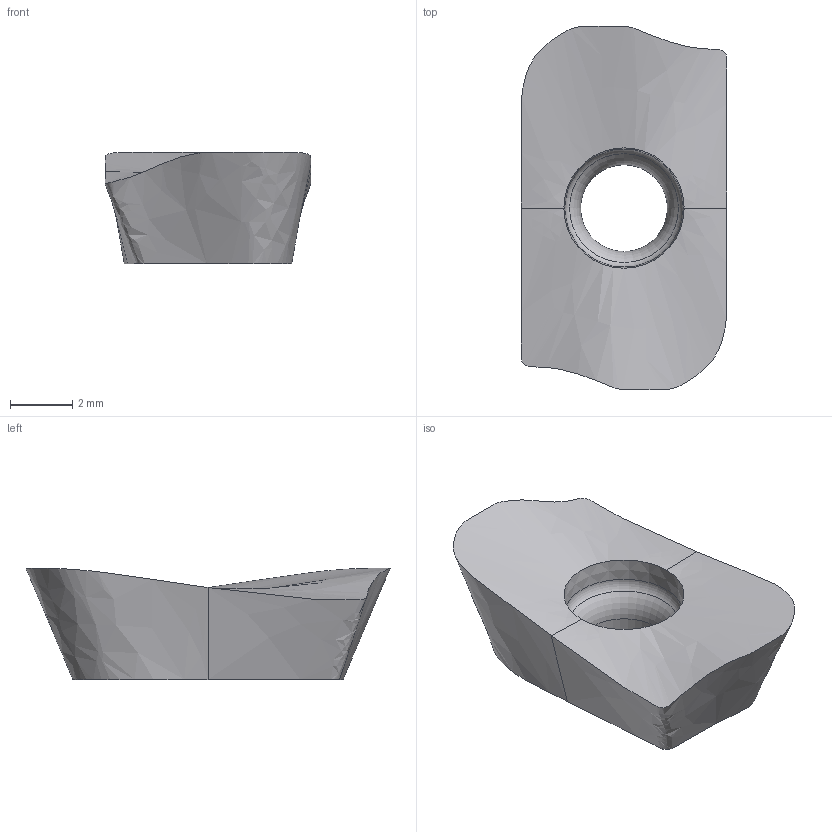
import cadquery as cq
import math

width = 6.64
length = 11.74
height = 3.59
half_width = width / 2
half_length = length / 2

waist_height = 2.97
nose_height = 2.58
nose_exit_height = 2.66
nose_radius = 0.35
nose_end_y = -5.12
flat_start_x = 0.1
flat_end_x = 1.2
sweep_end_y = -3.1
sweep_end_height = 3.43
wave_middle = (-1.0, -5.53, 3.41)
wave_top = (-0.34, -5.79, 3.56)
sweep_first = (2.25, -5.47, height)
sweep_second = (3.05, -4.58, 3.57)

seat_lean = math.tan(math.radians(4.0))
seat_half_width = 2.58
seat_nose_y = -4.24
seat_nose_radius = 0.3
seat_flat_start_y = -4.26
seat_end_y = -4.36
seat_sweep_end_y = -1.6
seat_wave_middle = (-0.7, seat_nose_y, 0)
seat_wave_top = (-0.2, -4.25, 0)
seat_sweep_first = (1.95, -4.05, 0)
seat_sweep_second = (2.5, -3.15, 0)

hole_diameter = 2.8
rim_diameter = 3.88
rim_height = 2.93
head_floor_diameter = 3.82
head_floor_height = 2.19
seat_fillet_radius = 0.5
seat_turn_angle = 46.0

along_x = (1, 0, 0)
along_minus_y = (0, -1, 0)
waist_fall = (0, -1, -0.11)
nose_exit = (1, 0, 0.25)
sweep_exit = (0, 1, -0.13)
seat_nose_side = (seat_lean, -1, 0)
seat_sweep_side = (-seat_lean, 1, 0)


def cutting_edge_stations():
    """(point, direction) pairs along the cutting edge of the -Y end."""
    nose_start_y = nose_end_y + nose_radius
    nose_end_x = -half_width + nose_radius
    return [
        ((-half_width, 0, waist_height), waist_fall),
        ((-half_width, nose_start_y, nose_height), along_minus_y),
        ((nose_end_x, nose_end_y, nose_exit_height), nose_exit),
        (wave_middle, (1, -0.38, 0.36)),
        (wave_top, (1, -0.36, 0.12)),
        ((flat_start_x, -half_length, height), along_x),
        ((flat_end_x, -half_length, height), along_x),
        (sweep_first, (0.82, 0.57, 0)),
        (sweep_second, (0.4, 0.9, -0.05)),
        ((half_width, sweep_end_y, sweep_end_height), sweep_exit),
        ((half_width, 0, waist_height), sweep_exit),
    ]


def seat_edge_stations():
    """(point, direction) pairs of the seat outline, one below each cutting edge station."""
    nose_start_y = seat_nose_y + seat_nose_radius
    nose_start_x = -(seat_half_width + seat_lean * nose_start_y)
    nose_end_x = nose_start_x + seat_nose_radius
    sweep_end_x = seat_half_width - seat_lean * seat_sweep_end_y
    return [
        ((-seat_half_width, 0, 0), seat_nose_side),
        ((nose_start_x, nose_start_y, 0), seat_nose_side),
        ((nose_end_x, seat_nose_y, 0), along_x),
        (seat_wave_middle, along_x),
        (seat_wave_top, along_x),
        ((flat_start_x, seat_flat_start_y, 0), (1, -0.08, 0)),
        ((flat_end_x, seat_end_y, 0), along_x),
        (seat_sweep_first, (0.74, 0.67, 0)),
        (seat_sweep_second, (0.33, 0.94, 0)),
        ((sweep_end_x, seat_sweep_end_y, 0), seat_sweep_side),
        ((seat_half_width, 0, 0), seat_sweep_side),
    ]


def edge_pair():
    """Cutting edge and seat edge, sharing parameters so straight rulings join matching stations."""
    edge_stations = cutting_edge_stations()
    travel = [0.0]
    for (start, _), (end, _) in zip(edge_stations, edge_stations[1:]):
        travel.append(travel[-1] + math.dist(start, end))

    def spline(stations):
        return cq.Edge.makeSpline(
            [cq.Vector(*point) for point, _ in stations],
            tangents=[cq.Vector(*direction) for _, direction in stations],
            parameters=travel,
        )

    return spline(edge_stations), spline(seat_edge_stations())


def half_turn(shape):
    """The same shape on the other end of the insert."""
    return shape.rotate(cq.Vector(0, 0, 0), cq.Vector(0, 0, 1), 180)


def make_body():
    """Solid insert: ruled flanks and rake faces, flat seat, closed disc inside the hole rim."""
    cutting_edge, seat_edge = edge_pair()
    rim_radius = rim_diameter / 2
    rim_edge = cq.Edge.makeThreePointArc(
        cq.Vector(-rim_radius, 0, rim_height),
        cq.Vector(0, -rim_radius, rim_height),
        cq.Vector(rim_radius, 0, rim_height),
    )
    flank = cq.Face.makeRuledSurface(seat_edge, cutting_edge)
    rake = cq.Face.makeRuledSurface(rim_edge, cutting_edge)
    seat = cq.Face.makeFromWires(cq.Wire.assembleEdges([seat_edge, half_turn(seat_edge)]))
    rim_disc = cq.Face.makeFromWires(cq.Wire.assembleEdges([rim_edge, half_turn(rim_edge)]))
    faces = [flank, rake, half_turn(flank), half_turn(rake), seat, rim_disc]
    return cq.Workplane(cq.Solid.makeSolid(cq.Shell.makeShell(faces)).fix())


def make_screw_hole():
    """Revolved cutter: head recess, hollow fillet, rounded seat and through bore."""
    bore = hole_diameter / 2
    rim = rim_diameter / 2
    floor = head_floor_diameter / 2
    turn = math.radians(seat_turn_angle)
    round_radius = (floor - bore) / (1 - math.cos(turn)) - seat_fillet_radius
    bore_top = head_floor_height - (seat_fillet_radius + round_radius) * math.sin(turn)

    def fillet_point(angle):
        return (
            floor - seat_fillet_radius * (1 - math.cos(angle)),
            head_floor_height - seat_fillet_radius * math.sin(angle),
        )

    def round_point(angle):
        return (
            bore + round_radius * (1 - math.cos(angle)),
            bore_top + round_radius * math.sin(angle),
        )

    profile = (
        cq.Workplane("XZ")
        .lineTo(bore, 0)
        .lineTo(bore, bore_top)
        .threePointArc(round_point(turn / 2), round_point(turn))
        .threePointArc(fillet_point(turn / 2), (floor, head_floor_height))
        .lineTo(rim, rim_height)
        .lineTo(0, rim_height)
        .close()
    )
    return profile.revolve(360, (0, 0, 0), (0, 1, 0))


insert = make_body().cut(make_screw_hole())
result = cq.Workplane(insert.solids().val())